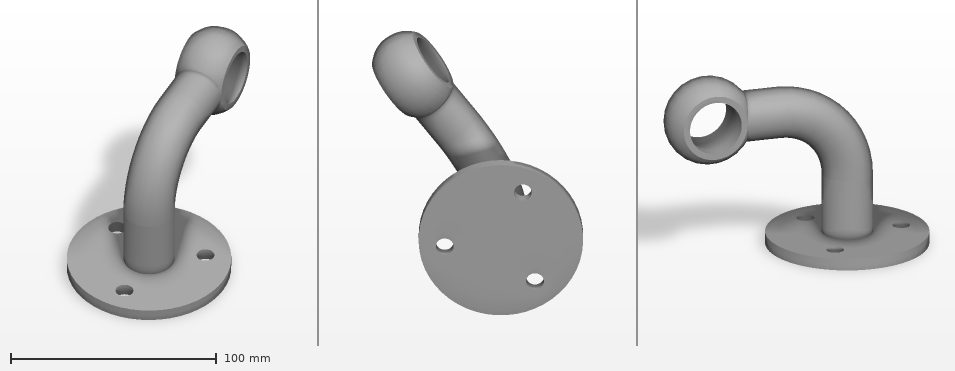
import cadquery as cq
import math

flange_diameter = 80.0
flange_thickness = 6.0
screw_hole_diameter = 8.6
screw_circle_radius = 27.5
screw_hole_count = 3
first_screw_angle = -90

arm_diameter = 25.0
bend_radius = 35.1
bend_start_height = 36.0
bend_end_height = bend_start_height + bend_radius

overall_length = 132.8
overall_height = 93.0
eye_width = 25.1
eye_bore_diameter = 26.3
eye_face_diameter = 32.5
eye_center_z = bend_end_height
eye_radius = overall_height - eye_center_z
eye_center_y = overall_length - flange_diameter / 2 - eye_radius


def make_flange():
    return (
        cq.Workplane("XY")
        .circle(flange_diameter / 2)
        .extrude(flange_thickness)
        .faces(">Z")
        .workplane()
        .polarArray(screw_circle_radius, first_screw_angle, 360, screw_hole_count)
        .hole(screw_hole_diameter)
    )


def make_arm():
    """Round bar rising from the flange, bending towards +Y and ending at the eye centre."""
    bend_midpoint = (
        bend_radius * (1 - math.cos(math.pi / 4)),
        bend_start_height + bend_radius * math.sin(math.pi / 4),
    )
    path = (
        cq.Workplane("YZ")
        .lineTo(0, bend_start_height)
        .threePointArc(bend_midpoint, (bend_radius, bend_end_height))
        .lineTo(eye_center_y, eye_center_z)
    )
    return cq.Workplane("XY").circle(arm_diameter / 2).sweep(path)


def make_eye():
    """Barrel with flat side faces, turned about the X axis through the eye centre."""
    half_width = eye_width / 2
    face_radius = eye_face_diameter / 2
    return (
        cq.Workplane("XY")
        .moveTo(-half_width, 0)
        .lineTo(-half_width, face_radius)
        .threePointArc((0, eye_radius), (half_width, face_radius))
        .lineTo(half_width, 0)
        .close()
        .revolve(360, (0, 0), (1, 0))
        .translate((0, eye_center_y, eye_center_z))
    )


def make_eye_bore():
    return (
        cq.Workplane("YZ")
        .center(eye_center_y, eye_center_z)
        .circle(eye_bore_diameter / 2)
        .extrude(eye_width, both=True)
    )


result = make_flange().union(make_arm()).union(make_eye()).cut(make_eye_bore())